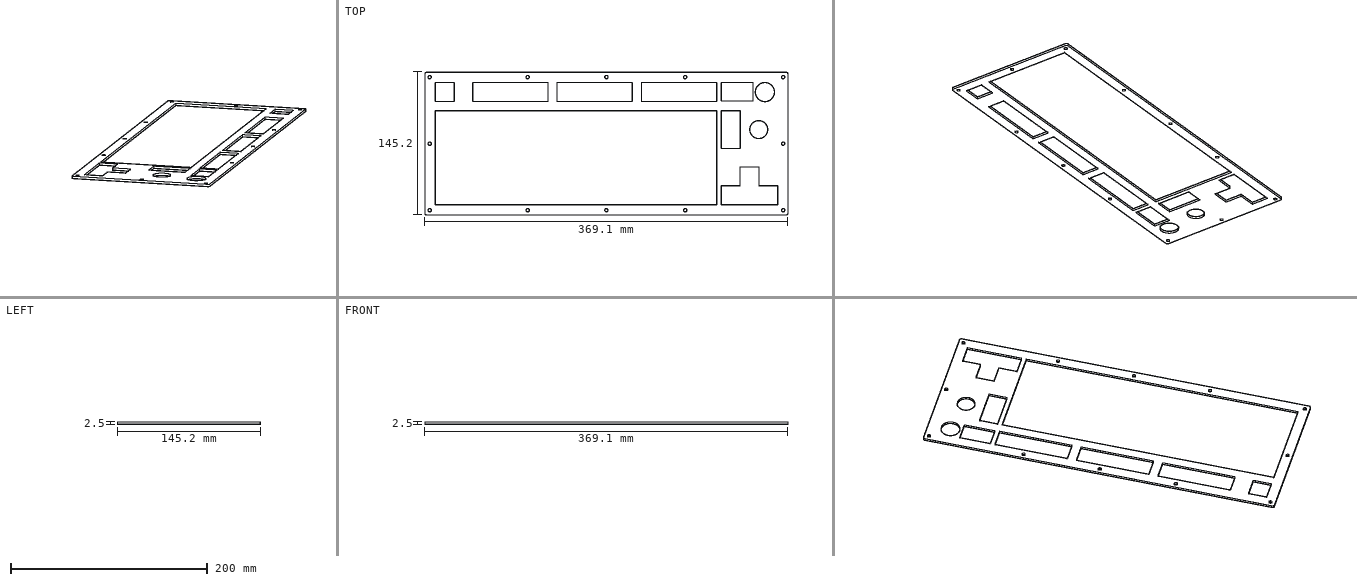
import cadquery as cq

length = 369.06
width = 145.23
thickness = 2.5
corner_radius = 2.0

key_pitch = 19.05
main_columns = 15
main_rows = 5
side_columns = 3
side_gap = key_pitch / 4
row_gap = key_pitch / 2
key_block_length = (main_columns + side_columns) * key_pitch + side_gap
key_block_width = (main_rows + 1) * key_pitch + row_gap
grid_left = -key_block_length / 2
grid_bottom = -key_block_width / 2
side_left = grid_left + main_columns * key_pitch + side_gap
main_top = grid_bottom + main_rows * key_pitch
function_row_bottom = main_top + row_gap
function_row_top = function_row_bottom + key_pitch

function_groups = [(0, 1), (2, 4), (6.5, 4), (11, 4)]

side_pair_rows = 2
display_length = 32.2
display_width = 18.4
large_knob_diameter = 19.2
large_knob_x = 161.0
large_knob_center = (large_knob_x, function_row_bottom + key_pitch / 2)
small_knob_diameter = 18.0
small_knob_column = 2
small_knob_center = (side_left + small_knob_column * key_pitch, main_top - key_pitch)

screw_diameter = 3.2
screw_edge_distance = 5.0
screw_x = length / 2 - screw_edge_distance
screw_y = width / 2 - screw_edge_distance
edge_screw_pitch = 80.0


def opening(left, bottom, size_x, size_y):
    """Rectangular cutter through the plate, placed by its lower left corner."""
    return cq.Workplane("XY").box(size_x, size_y, thickness, centered=False).translate((left, bottom, 0))


def key_opening(left, bottom, columns, rows):
    """Cutter for a block of keys."""
    return opening(left, bottom, columns * key_pitch, rows * key_pitch)


def round_holes(centers, diameter):
    """Cutters for round through holes."""
    return cq.Workplane("XY").pushPoints(centers).circle(diameter / 2).extrude(thickness)


def screw_centers():
    """Three screws on each short edge and three more inside each long edge."""
    short_edges = [(x, y) for x in (-screw_x, screw_x) for y in (-screw_y, 0, screw_y)]
    long_edges = [(i * edge_screw_pitch, y) for i in (-1, 0, 1) for y in (-screw_y, screw_y)]
    return short_edges + long_edges


plate = cq.Workplane("XY").box(length, width, thickness, centered=(True, True, False))
plate = plate.edges("|Z").fillet(corner_radius)

plate = plate.cut(key_opening(grid_left, grid_bottom, main_columns, main_rows))
for start_column, columns in function_groups:
    group_left = grid_left + start_column * key_pitch
    plate = plate.cut(key_opening(group_left, function_row_bottom, columns, 1))

plate = plate.cut(opening(side_left, function_row_top - display_width, display_length, display_width))
plate = plate.cut(key_opening(side_left, main_top - side_pair_rows * key_pitch, 1, side_pair_rows))
plate = plate.cut(key_opening(side_left, grid_bottom, side_columns, 1))
plate = plate.cut(key_opening(side_left + key_pitch, grid_bottom + key_pitch, 1, 1))

plate = plate.cut(round_holes([large_knob_center], large_knob_diameter))
plate = plate.cut(round_holes([small_knob_center], small_knob_diameter))
plate = plate.cut(round_holes(screw_centers(), screw_diameter))

result = plate